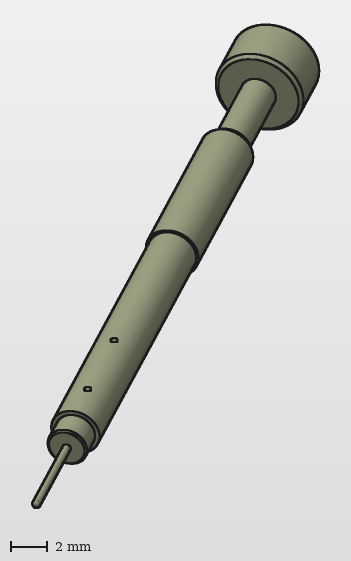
import cadquery as cq

TOTAL_LENGTH = 42.3

HEAD_DIAMETER = 5.0
HEAD_LENGTH = 3.0
HEAD_CHAMFER = 0.2

SHAFT_DIAMETER = 2.0
SHAFT_LENGTH = 5.2

SLEEVE_DIAMETER = 3.0
SLEEVE_LENGTH = 10.0
SLEEVE_TAPER_LENGTH = 0.35
SLEEVE_TAPER_DEPTH = 0.19

BODY_DIAMETER = 2.75
BODY_LENGTH = 17.05

NOSE_DIAMETER = 2.25
NOSE_LENGTH = 1.52
NOSE_CHAMFER = 0.105

PIN_DIAMETER = 0.45
PIN_TIP_RADIUS = 0.2

DIMPLE_DIAMETER = 0.4
DIMPLE_OFFSETS = (2.15, 6.8)

head_start = TOTAL_LENGTH - HEAD_LENGTH
shaft_start = head_start - SHAFT_LENGTH
sleeve_start = shaft_start - SLEEVE_LENGTH
body_start = sleeve_start - BODY_LENGTH
nose_start = body_start - NOSE_LENGTH


def section(diameter, start, end):
    """Round bar on the Y axis between two Y positions."""
    return cq.Workplane("XZ", origin=(0, start, 0)).circle(diameter / 2).extrude(start - end)


def head():
    bar = section(HEAD_DIAMETER, head_start, TOTAL_LENGTH)
    return bar.faces("<Y").chamfer(HEAD_CHAMFER)


def shaft():
    return section(SHAFT_DIAMETER, shaft_start, head_start)


def sleeve():
    bar = section(SLEEVE_DIAMETER, sleeve_start, shaft_start)
    return bar.faces(">Y").edges().chamfer(SLEEVE_TAPER_LENGTH, SLEEVE_TAPER_DEPTH)


def body():
    bar = section(BODY_DIAMETER, body_start, sleeve_start)
    for offset in DIMPLE_OFFSETS:
        dimple_center = (0, body_start + offset, BODY_DIAMETER / 2)
        bar = bar.cut(cq.Workplane("XY", origin=dimple_center).sphere(DIMPLE_DIAMETER / 2))
    return bar


def nose():
    bar = section(NOSE_DIAMETER, nose_start, body_start)
    return bar.faces("<Y").chamfer(NOSE_CHAMFER)


def pin():
    return section(PIN_DIAMETER, 0, nose_start).faces("<Y").edges().fillet(PIN_TIP_RADIUS)


result = head().union(shaft()).union(sleeve()).union(body()).union(nose()).union(pin())